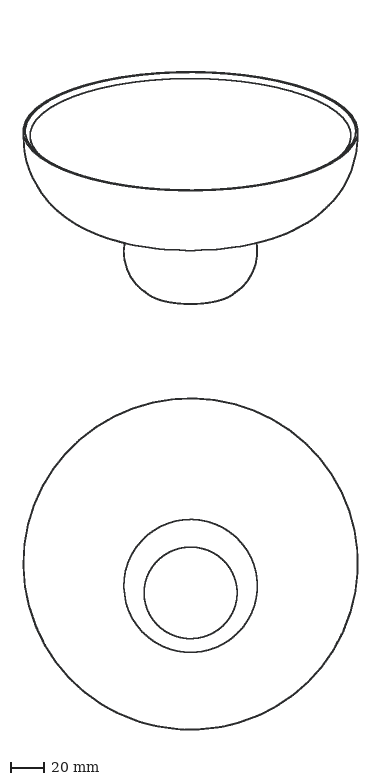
import cadquery as cq
import math

total_height = 100.0
rim_radius = 100.0
bowl_depth = 53.8
wall = 4.0
rim_chamfer = 2.8
outer_arc_radius = 50.0
foot_radius = 40.0
foot_arc_radius = 28.0

foot_height = total_height - bowl_depth


def make_bowl():
    """Revolved shell with a chamfered inner rim edge."""
    floor_height = foot_height + wall
    outer_flat_radius = rim_radius - outer_arc_radius
    outer_arc_top = foot_height + outer_arc_radius
    inner_radius = rim_radius - wall
    inner_arc_radius = bowl_depth - wall
    inner_flat_radius = inner_radius - inner_arc_radius
    diagonal = math.sqrt(0.5)
    outer_arc_middle = (
        outer_flat_radius + outer_arc_radius * diagonal,
        outer_arc_top - outer_arc_radius * diagonal,
    )
    inner_arc_middle = (
        inner_flat_radius + inner_arc_radius * diagonal,
        total_height - inner_arc_radius * diagonal,
    )
    shell = (
        cq.Workplane("XZ")
        .moveTo(0, foot_height)
        .lineTo(outer_flat_radius, foot_height)
        .threePointArc(outer_arc_middle, (rim_radius, outer_arc_top))
        .lineTo(rim_radius, total_height)
        .lineTo(inner_radius, total_height)
        .threePointArc(inner_arc_middle, (inner_flat_radius, floor_height))
        .lineTo(0, floor_height)
        .close()
        .revolve(360, (0, 0, 0), (0, 1, 0))
    )
    inner_rim_edge = cq.selectors.RadiusNthSelector(0)
    return shell.faces(">Z").edges(inner_rim_edge).chamfer(rim_chamfer)


def make_foot():
    """Squat ball with flat ends, widest at mid height."""
    half_height = foot_height / 2
    arc_center_radius = foot_radius - foot_arc_radius
    end_radius = arc_center_radius + math.sqrt(foot_arc_radius**2 - half_height**2)
    return (
        cq.Workplane("XZ")
        .lineTo(end_radius, 0)
        .threePointArc((foot_radius, half_height), (end_radius, foot_height))
        .lineTo(0, foot_height)
        .close()
        .revolve(360, (0, 0, 0), (0, 1, 0))
    )


bowl = make_bowl()
foot = make_foot()

result = cq.Compound.makeCompound([bowl.val(), foot.val()])